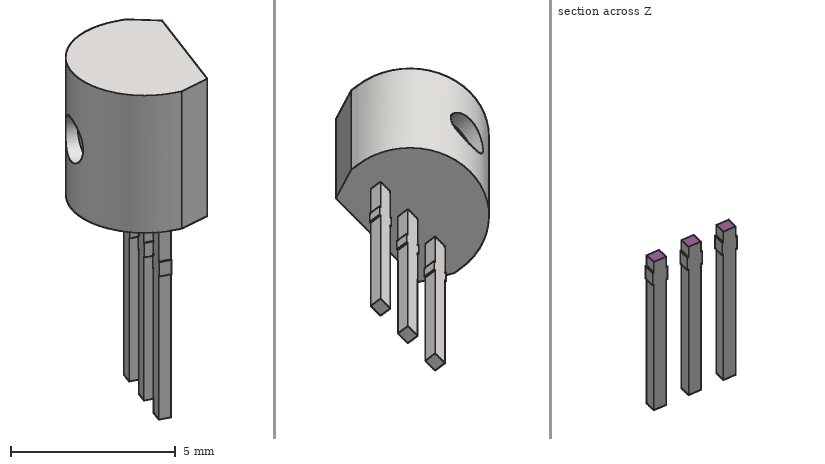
import cadquery as cq

BODY_RADIUS = 2.4
BODY_HEIGHT = 4.78
FLAT_Y = 1.3
FLAT_HALF_WIDTH = 1.94
SIDE_TOP_Y = 0.29

DIMPLE_DIAMETER = 1.5
DIMPLE_DEPTH = 0.5

TOTAL_HEIGHT = 11.81
LEAD_COUNT = 3
LEAD_PITCH = 1.27
LEAD_WIDTH = 0.46
LEAD_THICKNESS = 0.4
LEAD_BACK_Y = SIDE_TOP_Y
STUB_WIDTH = 0.55
STUB_HEIGHT = 0.5
STUB_DROP = 1.53

LEAD_LENGTH = TOTAL_HEIGHT - BODY_HEIGHT
LEAD_CENTER_Y = LEAD_BACK_Y - LEAD_THICKNESS / 2


def make_body():
    """D-shaped prism standing on the XY plane."""
    return (
        cq.Workplane("XY")
        .moveTo(-BODY_RADIUS, 0)
        .threePointArc((0, -BODY_RADIUS), (BODY_RADIUS, 0))
        .lineTo(BODY_RADIUS, SIDE_TOP_Y)
        .lineTo(FLAT_HALF_WIDTH, FLAT_Y)
        .lineTo(-FLAT_HALF_WIDTH, FLAT_Y)
        .lineTo(-BODY_RADIUS, SIDE_TOP_Y)
        .close()
        .extrude(BODY_HEIGHT)
    )


def make_dimple():
    """Cutter for the dimple, centred at mid-height of the curved front."""
    return (
        cq.Workplane("XZ", origin=(0, -BODY_RADIUS, BODY_HEIGHT / 2))
        .circle(DIMPLE_DIAMETER / 2)
        .extrude(-DIMPLE_DEPTH)
    )


def make_hanging_bar(center_x, width, top_z, height):
    """Rectangular bar of lead thickness that hangs down from top_z."""
    return (
        cq.Workplane("XY", origin=(center_x, LEAD_CENTER_Y, top_z))
        .rect(width, LEAD_THICKNESS)
        .extrude(-height)
    )


def make_lead(center_x):
    """Full-length lead with its wider stub."""
    lead = make_hanging_bar(center_x, LEAD_WIDTH, 0, LEAD_LENGTH)
    stub = make_hanging_bar(center_x, STUB_WIDTH, -STUB_DROP, STUB_HEIGHT)
    return lead.union(stub)


result = make_body().cut(make_dimple())
for index in range(LEAD_COUNT):
    lead_x = (index - (LEAD_COUNT - 1) / 2) * LEAD_PITCH
    result = result.union(make_lead(lead_x))